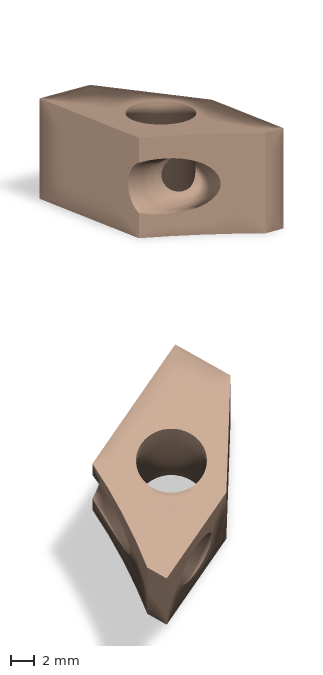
import cadquery as cq

length = 19.06
width = 11.05
height = 9.0

bevel_length = 9.53
front_edge_length = 13.23
end_face_width = 1.95
hollow_point = (16.81, 6.06)

vertical_hole_diameter = 6.0
vertical_hole_x = 9.45
cross_hole_diameter = 5.0
cross_hole_x = 14.3

body = (
    cq.Workplane("XY")
    .moveTo(0, 0)
    .lineTo(front_edge_length, 0)
    .threePointArc(hollow_point, (length, width - end_face_width))
    .lineTo(length, width)
    .lineTo(bevel_length, width)
    .lineTo(0, width / 2)
    .close()
    .extrude(height)
)

vertical_hole = (
    cq.Workplane("XY")
    .center(vertical_hole_x, width / 2)
    .circle(vertical_hole_diameter / 2)
    .extrude(height)
)

cross_hole = (
    cq.Workplane("XZ")
    .center(cross_hole_x, height / 2)
    .circle(cross_hole_diameter / 2)
    .extrude(-width)
)

result = body.cut(vertical_hole).cut(cross_hole)